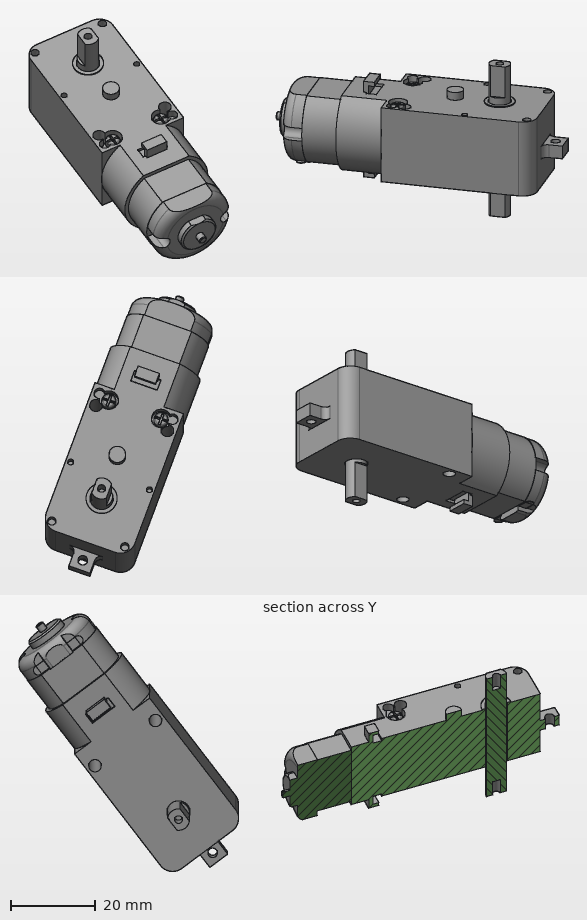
import cadquery as cq
import math

TOTAL_LENGTH = 70.35
CUT_MARGIN = 0.7

BOX_START = 4.8
BOX_END = 41.85
BOX_WIDTH = 22.15
BOX_HALF_WIDTH = BOX_WIDTH / 2
HOUSING_HEIGHT = 18.8
HOUSING_TOP = HOUSING_HEIGHT / 2
CORNER_RADIUS = 3.6
SLEEVE_RADIUS = 11.25
SLEEVE_END = 52.9

TAB_WIDTH = 5.3
TAB_HEIGHT = 3.25
TAB_BOTTOM = -2.45
TAB_OFFSET_Y = -0.2
TAB_FILLET = 1.5
TAB_HOLE_X = 2.4
TAB_HOLE_RADIUS = 1.1

SHAFT_X = 16.0
SHAFT_RADIUS = 5.1 / 2
SHAFT_LENGTH = 38.2
SHAFT_FLAT_HALF_WIDTH = 1.8
UPPER_FLAT_START = 11.3
LOWER_FLAT_START = 10.2
SHAFT_END_HOLE_RADIUS = 0.9
SHAFT_END_HOLE_DEPTH = 4.2
SHAFT_BORE_RADIUS = 5.5 / 2
COLLAR_RADIUS = 3.65
COLLAR_HEIGHT = 0.245

PEG_X = 26.8
PEG_RADIUS = 2.0
PEG_HEIGHT = 2.0

CORNER_HOLE_X, CORNER_HOLE_Y, CORNER_HOLE_RADIUS = 6.8, 9.15, 1.0
SIDE_HOLE_X, SIDE_HOLE_Y, SIDE_HOLE_RADIUS = 21.8, 9.85, 0.7
REAR_HOLE_X, REAR_HOLE_Y, REAR_HOLE_RADIUS = 39.75, 9.15, 1.3
MOUNT_HOLE_X, MOUNT_HOLE_Y, MOUNT_HOLE_RADIUS = 36.7, 8.9, 1.5
BLIND_HOLE_DEPTH = 2.1

SCREW_X, SCREW_Y = 39.0, 6.55
COUNTERBORE_RADIUS = 2.25
COUNTERBORE_DEPTH = 2.1
SCREW_HEAD_RADIUS = 1.7
SCREW_HEAD_HEIGHT = 1.55
SCREW_HEAD_FILLET = 0.35
CROSS_LENGTH = 2.8
CROSS_WIDTH = 0.5
CROSS_DEPTH = 1.0

CLIP_TIP_X = 45.85
CLIP_WEB_X = 47.3
CLIP_BACK_X = 48.45
CLIP_WIDTH = 5.35
CLIP_HEIGHT = 2.75
CLIP_HOOK_THICKNESS = 1.05
CLIP_POCKET_START = 45.15
CLIP_POCKET_END = 47.75
CLIP_POCKET_WIDTH = 6.6
CLIP_POCKET_DEPTH = 0.7

CAN_RADIUS = 10.3
CAN_HALF_HEIGHT = 16.7 / 2
CAP_START = 61.5
CAP_END = 66.6
CAP_RADIUS = 20.3 / 2
CAP_HALF_HEIGHT = 8.4
CAP_FILLET = 2.5
CAP_GROOVE_RADIUS = 1.6
CAP_GROOVE_CENTER_Y = 8.45
KEEL_HALF_WIDTH = 3.4
KEEL_BOTTOM = -9.85
LUG_X = 62.8
LUG_WIDTH = 2.25
LUG_SPAN = 14.1
LUG_THICKNESS = 0.15
BEARING_RADIUS = 4.7
BEARING_END = 68.5
BEARING_FLAT_Z = 4.3
BEARING_CHAMFER = 0.4
MOTOR_SHAFT_RADIUS = 1.0
MOTOR_SHAFT_CHAMFER = 0.2


def span_box(x_range, y_range, z_range):
    """Box between the given limits on each axis."""
    (x0, x1), (y0, y1), (z0, z1) = x_range, y_range, z_range
    return cq.Workplane("XY").box(x1 - x0, y1 - y0, z1 - z0, centered=False).translate((x0, y0, z0))


def post(x, y, z0, z1, radius):
    """Round post along Z between two heights."""
    return cq.Workplane("XY", origin=(x, y, z0)).circle(radius).extrude(z1 - z0)


def rod(x0, x1, radius, y=0.0):
    """Round rod along X between two stations."""
    return cq.Workplane("YZ", origin=(x0, y, 0)).circle(radius).extrude(x1 - x0)


def make_box():
    box = span_box((BOX_START, BOX_END), (-BOX_HALF_WIDTH, BOX_HALF_WIDTH), (-HOUSING_TOP, HOUSING_TOP))
    return box.edges("|Z and <X").fillet(CORNER_RADIUS)


def make_sleeve():
    """Round sleeve behind the box, cut flush with the top and bottom faces."""
    slab = span_box(
        (BOX_END, SLEEVE_END), (-SLEEVE_RADIUS, SLEEVE_RADIUS), (-HOUSING_TOP, HOUSING_TOP)
    )
    return rod(BOX_END, SLEEVE_END, SLEEVE_RADIUS).intersect(slab)


def make_tab():
    """Drilled tab that flares into the front wall through concave arcs."""
    half = TAB_WIDTH / 2
    flare_x = BOX_START - TAB_FILLET
    arc_inset = TAB_FILLET * (1 - math.sqrt(0.5))
    arc_x, arc_y = BOX_START - arc_inset, half + arc_inset
    tab = (
        cq.Workplane("XY", origin=(0, TAB_OFFSET_Y, TAB_BOTTOM))
        .moveTo(0, -half)
        .lineTo(flare_x, -half)
        .threePointArc((arc_x, -arc_y), (BOX_START, -half - TAB_FILLET))
        .lineTo(BOX_START, half + TAB_FILLET)
        .threePointArc((arc_x, arc_y), (flare_x, half))
        .lineTo(0, half)
        .close()
        .extrude(TAB_HEIGHT)
    )
    tab_top = TAB_BOTTOM + TAB_HEIGHT
    return tab.cut(post(TAB_HOLE_X, TAB_OFFSET_Y, TAB_BOTTOM, tab_top, TAB_HOLE_RADIUS))


def make_screw_head(y):
    """Rounded screw head with a cross recess, standing on the counterbore floor."""
    floor = HOUSING_TOP - COUNTERBORE_DEPTH
    head_top = floor + SCREW_HEAD_HEIGHT
    head = post(SCREW_X, y, floor, head_top, SCREW_HEAD_RADIUS).faces(">Z").edges().fillet(SCREW_HEAD_FILLET)
    for length_x, length_y in ((CROSS_LENGTH, CROSS_WIDTH), (CROSS_WIDTH, CROSS_LENGTH)):
        arm = cq.Workplane("XY", origin=(SCREW_X, y, head_top)).rect(length_x, length_y).extrude(-CROSS_DEPTH)
        head = head.cut(arm)
    return head


def cut_top_holes(body):
    """Drill the mirrored pairs of blind, through and counterbored holes."""
    opening = HOUSING_TOP + CUT_MARGIN
    pairs = (
        (CORNER_HOLE_X, CORNER_HOLE_Y, CORNER_HOLE_RADIUS, BLIND_HOLE_DEPTH),
        (SIDE_HOLE_X, SIDE_HOLE_Y, SIDE_HOLE_RADIUS, BLIND_HOLE_DEPTH),
        (REAR_HOLE_X, REAR_HOLE_Y, REAR_HOLE_RADIUS, BLIND_HOLE_DEPTH),
        (SCREW_X, SCREW_Y, COUNTERBORE_RADIUS, COUNTERBORE_DEPTH),
    )
    for side in (-1, 1):
        for x, y, radius, depth in pairs:
            body = body.cut(post(x, side * y, HOUSING_TOP - depth, opening, radius))
        body = body.union(make_screw_head(side * SCREW_Y))
        body = body.cut(post(MOUNT_HOLE_X, side * MOUNT_HOLE_Y, -opening, opening, MOUNT_HOLE_RADIUS))
    return body


def make_clip():
    """L-shaped hook on the top face, rising from the floor of its pocket."""
    hook_top = HOUSING_TOP + CLIP_HEIGHT
    root = HOUSING_TOP - CLIP_POCKET_DEPTH
    half = CLIP_WIDTH / 2
    web = span_box((CLIP_WEB_X, CLIP_BACK_X), (-half, half), (root, hook_top))
    lip = span_box((CLIP_TIP_X, CLIP_BACK_X), (-half, half), (hook_top - CLIP_HOOK_THICKNESS, hook_top))
    return web.union(lip)


def add_clips(body):
    half = CLIP_POCKET_WIDTH / 2
    pocket = span_box(
        (CLIP_POCKET_START, CLIP_POCKET_END),
        (-half, half),
        (HOUSING_TOP - CLIP_POCKET_DEPTH, HOUSING_TOP + CUT_MARGIN),
    )
    clip = make_clip()
    body = body.cut(pocket).cut(pocket.mirror("XY"))
    return body.union(clip).union(clip.mirror("XY"))


def make_housing():
    body = make_box().union(make_sleeve()).union(make_tab())
    body = body.union(post(PEG_X, 0, HOUSING_TOP, HOUSING_TOP + PEG_HEIGHT, PEG_RADIUS))
    collar_top = HOUSING_TOP + COLLAR_HEIGHT
    body = body.union(post(SHAFT_X, 0, HOUSING_TOP, collar_top, COLLAR_RADIUS))
    body = body.cut(post(SHAFT_X, 0, -HOUSING_TOP - CUT_MARGIN, collar_top + CUT_MARGIN, SHAFT_BORE_RADIUS))
    return add_clips(cut_top_holes(body))


def make_output_shaft():
    """Round shaft with two flats and a blind hole at each end."""
    end = SHAFT_LENGTH / 2
    x_range = (SHAFT_X - SHAFT_RADIUS, SHAFT_X + SHAFT_RADIUS)
    shaft = post(SHAFT_X, 0, -end, end, SHAFT_RADIUS)
    for z_range in ((UPPER_FLAT_START, end), (-end, -LOWER_FLAT_START)):
        for y_range in (
            (SHAFT_FLAT_HALF_WIDTH, SHAFT_RADIUS),
            (-SHAFT_RADIUS, -SHAFT_FLAT_HALF_WIDTH),
        ):
            shaft = shaft.cut(span_box(x_range, y_range, z_range))
    for z_range in ((end - SHAFT_END_HOLE_DEPTH, end), (-end, SHAFT_END_HOLE_DEPTH - end)):
        shaft = shaft.cut(post(SHAFT_X, 0, *z_range, SHAFT_END_HOLE_RADIUS))
    return shaft


def make_can():
    slab = span_box(
        (SLEEVE_END, CAP_START), (-CAN_RADIUS, CAN_RADIUS), (-CAN_HALF_HEIGHT, CAN_HALF_HEIGHT)
    )
    return rod(SLEEVE_END, CAP_START, CAN_RADIUS).intersect(slab)


def make_end_cap():
    """Rounded cap with two flats, a keel below and a U-shaped groove on each side."""
    x_range = (CAP_START, CAP_END)
    slab = span_box(x_range, (-CAP_RADIUS, CAP_RADIUS), (-CAP_HALF_HEIGHT, CAP_HALF_HEIGHT))
    keel = span_box(x_range, (-KEEL_HALF_WIDTH, KEEL_HALF_WIDTH), (KEEL_BOTTOM, 0))
    cap = rod(CAP_START, CAP_END, CAP_RADIUS).faces(">X").edges().fillet(CAP_FILLET)
    cap = cap.intersect(slab.union(keel))
    groove = rod(CAP_START, CAP_END, CAP_GROOVE_RADIUS, CAP_GROOVE_CENTER_Y).union(
        span_box(x_range, (CAP_GROOVE_CENTER_Y, CAP_RADIUS), (-CAP_GROOVE_RADIUS, CAP_GROOVE_RADIUS))
    )
    return cap.cut(groove).cut(groove.mirror("XZ"))


def make_lugs():
    """Thin round-ended strip under the cap whose ends stick out as solder lugs."""
    strip = cq.Workplane("XY", origin=(LUG_X, 0, -CAP_HALF_HEIGHT))
    return strip.slot2D(LUG_SPAN, LUG_WIDTH, 90).extrude(-LUG_THICKNESS)


def make_bearing():
    """Bearing boss with a flat on its upper side."""
    boss = rod(CAP_END, BEARING_END, BEARING_RADIUS).faces(">X").edges().chamfer(BEARING_CHAMFER)
    flat = span_box(
        (CAP_END, BEARING_END), (-BEARING_RADIUS, BEARING_RADIUS), (BEARING_FLAT_Z, BEARING_RADIUS)
    )
    return boss.cut(flat)


def make_motor():
    shaft = rod(BEARING_END, TOTAL_LENGTH, MOTOR_SHAFT_RADIUS)
    shaft = shaft.faces(">X").edges().chamfer(MOTOR_SHAFT_CHAMFER)
    return make_can().union(make_end_cap()).union(make_lugs()).union(make_bearing()).union(shaft)


housing = make_housing()
output_shaft = make_output_shaft()
motor = make_motor()

result = cq.Compound.makeCompound([housing.val(), output_shaft.val(), motor.val()])